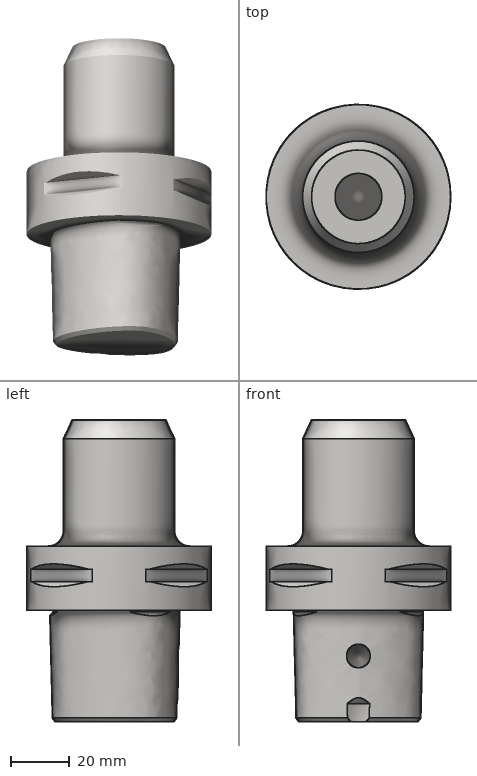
import cadquery as cq
import math

total_height = 103.0
shank_height = 38.0
flange_height = 21.9
flange_top = shank_height + flange_height

flange_diameter = 63.0
flange_radius = flange_diameter / 2
neck_diameter = 38.0
neck_radius = neck_diameter / 2
neck_fillet = 5.0
nose_radius = 16.0
nose_height = 6.5
bore_diameter = 16.0
bore_depth = 48.0

shank_width = 44.3
lobe_eccentricity = 1.4
outline_points = 48
straight_height = 3.0
taper_ratio = 1 / 20
end_chamfer_height = 1.3
end_chamfer_depth = 1.0

relief_radius = 22.5
relief_wall = 0.5
relief_bend_radius = 22.9
relief_bend = 1.1
relief_outer_radius = 23.6
relief_height = 1.9

cutter_margin = 5.2

groove_count = 4
groove_angle = 45.0
groove_height_above_flange_base = 11.9
groove_z = shank_height + groove_height_above_flange_base
groove_floor_radius = 27.8
groove_flare_radius = 28.4
groove_floor_height = 4.2
groove_flank_angle = 30.0

cross_hole_diameter = 8.0
cross_hole_tip_angle = 118.0
cross_hole_z = 22.5
cross_hole_wall_end = 12.4
notch_diameter = 10.1
notch_tip_angle = 90.0
notch_wall_height = 6.2
notch_axis_radius = 23.1


def shank_wire(z, width):
    """Three-lobed constant-width outline at height z, with one lobe toward +Y."""
    points = []
    for i in range(outline_points):
        t = math.pi + 2 * math.pi * i / outline_points
        along = (width / 2 * math.cos(t) + 2 * lobe_eccentricity * math.cos(2 * t)
                 - lobe_eccentricity * math.cos(4 * t))
        across = (width / 2 * math.sin(t) - 2 * lobe_eccentricity * math.sin(2 * t)
                  - lobe_eccentricity * math.sin(4 * t))
        points.append(cq.Vector(across, along, z))
    return cq.Wire.assembleEdges([cq.Edge.makeSpline(points, periodic=True)])


def make_shank():
    """Straight collar, tapered body and end chamfer of the polygon shank."""
    taper_top = shank_height - straight_height
    taper_length = taper_top - end_chamfer_height
    end_width = shank_width - taper_length * taper_ratio
    sections = [
        shank_wire(shank_height, shank_width),
        shank_wire(taper_top, shank_width),
        shank_wire(end_chamfer_height, end_width),
        shank_wire(0, end_width - 2 * end_chamfer_depth),
    ]
    shank = cq.Workplane()
    for upper, lower in zip(sections, sections[1:]):
        shank = shank.union(cq.Workplane(cq.Solid.makeLoft([upper, lower], True)))
    return shank


def make_relief():
    """Ring that trims the three lobes below the flange."""
    outer = relief_outer_radius + cutter_margin
    return (
        cq.Workplane("XZ")
        .moveTo(relief_radius, shank_height)
        .lineTo(relief_radius, shank_height - relief_wall)
        .lineTo(relief_bend_radius, shank_height - relief_bend)
        .lineTo(relief_outer_radius, shank_height - relief_height)
        .lineTo(outer, shank_height - relief_height)
        .lineTo(outer, shank_height)
        .close()
        .revolve(360, (0, 0, 0), (0, 1, 0))
    )


def make_flange_and_neck():
    """Turned flange, filleted neck and conical nose."""
    fillet_mid = neck_fillet * (1 - math.sqrt(0.5))
    return (
        cq.Workplane("XZ")
        .moveTo(0, shank_height)
        .lineTo(flange_radius, shank_height)
        .lineTo(flange_radius, flange_top)
        .lineTo(neck_radius + neck_fillet, flange_top)
        .threePointArc(
            (neck_radius + fillet_mid, flange_top + fillet_mid),
            (neck_radius, flange_top + neck_fillet),
        )
        .lineTo(neck_radius, total_height - nose_height)
        .lineTo(nose_radius, total_height)
        .lineTo(0, total_height)
        .close()
        .revolve(360, (0, 0, 0), (0, 1, 0))
    )


def make_groove():
    """Flat-floored groove with flared flanks, facing +X."""
    outer = flange_radius + cutter_margin
    floor_half = groove_floor_height / 2
    outer_half = floor_half + (outer - groove_flare_radius) * math.tan(math.radians(groove_flank_angle))
    return (
        cq.Workplane("XZ")
        .moveTo(groove_floor_radius, -floor_half)
        .lineTo(groove_flare_radius, -floor_half)
        .lineTo(outer, -outer_half)
        .lineTo(outer, outer_half)
        .lineTo(groove_flare_radius, floor_half)
        .lineTo(groove_floor_radius, floor_half)
        .close()
        .extrude(flange_radius, both=True)
        .translate((0, 0, groove_z))
    )


def make_drill(diameter, tip_angle, wall_length):
    """Drill-shaped cutter along +Z from the origin, ending in a conical tip."""
    radius = diameter / 2
    tip_height = radius / math.tan(math.radians(tip_angle / 2))
    return (
        cq.Workplane("XZ")
        .lineTo(radius, 0)
        .lineTo(radius, wall_length)
        .lineTo(0, wall_length + tip_height)
        .close()
        .revolve(360, (0, 0, 0), (0, 1, 0))
    )


result = make_flange_and_neck().union(make_shank().cut(make_relief()))
result = result.faces(">Z").workplane().hole(bore_diameter, bore_depth)

groove = make_groove()
for i in range(groove_count):
    turn = groove_angle + 360 / groove_count * i
    result = result.cut(groove.rotate((0, 0, 0), (0, 0, 1), turn))

hole_start = shank_width / 2 + cutter_margin
cross_hole = make_drill(cross_hole_diameter, cross_hole_tip_angle, hole_start - cross_hole_wall_end)
cross_hole = cross_hole.rotate((0, 0, 0), (1, 0, 0), -90)
result = result.cut(cross_hole.translate((0, -hole_start, cross_hole_z)))

notch = make_drill(notch_diameter, notch_tip_angle, notch_wall_height)
result = result.cut(notch.translate((0, -notch_axis_radius, 0)))